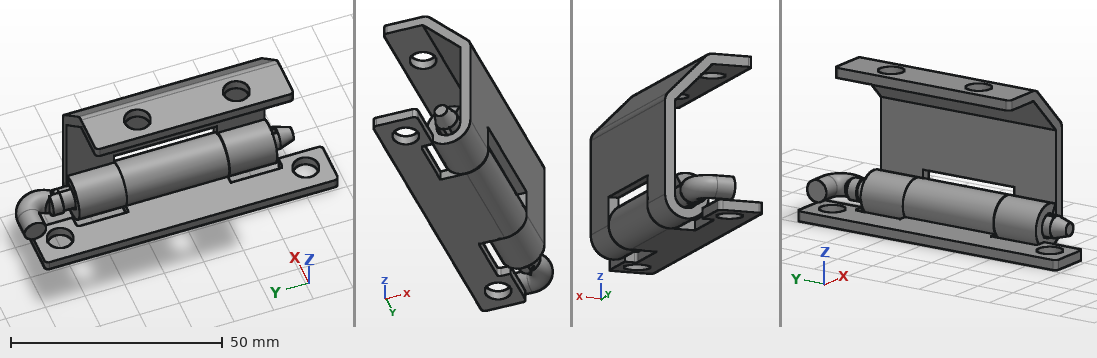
import cadquery as cq
import math


sheet = 2.5
knuckle_radius = 5.5
bore_radius = knuckle_radius - sheet
screw_hole_diameter = 6.3
corner_radius = 1.0

bracket_length = 50.0
bracket_top = 34.8
flange_edge_x = -16.5
lower_bend_z = 22.8
bracket_hole_x = -11.1
bracket_hole_spacing = 25.0
curl_end_angle = 60
window_length = 26
window_top = 6.8

base_length = 74.05
base_left_x = -14.7
base_right_x = -3.5
notch_x = -6.6
notch_length = 51.95
notch_corner_radius = 0.7
base_hole_x = -8.5
base_hole_spacing = 62.05
knuckle_gap = 0.15

pin_radius = 2.75
pin_x = bore_radius - pin_radius
tip_start_y = -27.0
tip_end_y = -30.7
tip_end_radius = 1.6
slot_width = 1.4
slot_end_y = -window_length / 2
collar_start_y = 28.0
collar_end_y = 30.6
long_leg_end_y = 29.8

handle_end_x = -6.8
handle_top_y = 76.4 - base_length / 2
bend_radius = 3.75
bend_center_x = -2.3
bend_center_y = handle_top_y - pin_radius - bend_radius
bend_angle = 140
collar_x = -0.3


def y_cylinder(radius, start_y, end_y, x=0):
    """Cylinder parallel to the hinge axis."""
    start = cq.Vector(x, start_y, 0)
    return cq.Workplane(obj=cq.Solid.makeCylinder(radius, end_y - start_y, start, cq.Vector(0, 1, 0)))


def limit_box(x_min, x_max, y_min, y_max, z_min, z_max):
    """Axis-aligned box given by its limits."""
    return cq.Workplane().box(
        x_max - x_min, y_max - y_min, z_max - z_min, centered=False
    ).translate((x_min, y_min, z_min))


def make_bracket():
    """Bent leaf whose lower edge curls around the pin, windowed for the middle knuckle."""
    half_length = bracket_length / 2
    upper_bend_z = bracket_top - sheet
    upper_bend_x = bore_radius - (upper_bend_z - lower_bend_z)
    diagonal = sheet * math.sqrt(0.5)
    arc_middle = math.radians(45 / 2)
    arc_x = sheet * math.sin(arc_middle)
    arc_z = sheet * math.cos(arc_middle)
    end_angle = math.radians(curl_end_angle)
    end_cos = math.cos(end_angle)
    end_sin = math.sin(end_angle)
    curl_middle = math.radians((curl_end_angle - 360) / 2)
    mid_cos = math.cos(curl_middle)
    mid_sin = math.sin(curl_middle)

    bracket = (
        cq.Workplane("XZ", origin=(0, half_length, 0))
        .moveTo(flange_edge_x, bracket_top)
        .lineTo(upper_bend_x, bracket_top)
        .threePointArc(
            (upper_bend_x + arc_x, upper_bend_z + arc_z),
            (upper_bend_x + diagonal, upper_bend_z + diagonal),
        )
        .lineTo(bore_radius + diagonal, lower_bend_z + diagonal)
        .threePointArc(
            (bore_radius + arc_z, lower_bend_z + arc_x), (knuckle_radius, lower_bend_z)
        )
        .lineTo(knuckle_radius, 0)
        .threePointArc(
            (knuckle_radius * mid_cos, knuckle_radius * mid_sin),
            (knuckle_radius * end_cos, knuckle_radius * end_sin),
        )
        .lineTo(bore_radius * end_cos, bore_radius * end_sin)
        .threePointArc((bore_radius * mid_cos, bore_radius * mid_sin), (bore_radius, 0))
        .lineTo(bore_radius, lower_bend_z)
        .lineTo(upper_bend_x, upper_bend_z)
        .lineTo(flange_edge_x, upper_bend_z)
        .close()
        .extrude(bracket_length)
    )
    bracket = bracket.edges("|Z and <X").fillet(corner_radius)

    half_window = window_length / 2
    window = limit_box(
        -knuckle_radius, knuckle_radius, -half_window, half_window, -knuckle_radius, window_top
    )
    holes = (
        cq.Workplane(origin=(bracket_hole_x, 0, upper_bend_z))
        .rarray(0.8, bracket_hole_spacing, 1, 2)
        .circle(screw_hole_diameter / 2)
        .extrude(sheet)
    )
    return bracket.cut(window).cut(holes)


def make_base():
    """Flat leaf, notched beside the bracket knuckles and joined to the middle knuckle."""
    half_length = base_length / 2
    half_notch = notch_length / 2
    knuckle_start = -window_length / 2 + knuckle_gap
    knuckle_end = window_length / 2
    bottom = -knuckle_radius
    top = bottom + sheet

    plate = limit_box(base_left_x, base_right_x, -half_length, half_length, bottom, top)
    plate = plate.edges("|Z").fillet(corner_radius)
    notch = limit_box(notch_x, 0, -half_notch, half_notch, bottom, top)
    notch = notch.edges("|Z and <X").fillet(notch_corner_radius)
    tongue = limit_box(notch_x, 0, knuckle_start, knuckle_end, bottom, top)
    holes = (
        cq.Workplane(origin=(base_hole_x, 0, bottom))
        .rarray(0.8, base_hole_spacing, 1, 2)
        .circle(screw_hole_diameter / 2)
        .extrude(sheet)
    )
    knuckle = y_cylinder(knuckle_radius, knuckle_start, knuckle_end)
    bore = y_cylinder(bore_radius, knuckle_start, knuckle_end)
    return plate.cut(notch).cut(holes).union(tongue).union(knuckle).cut(bore)


def make_handle():
    """Bent round bar that ends in a short collar over the pin legs."""
    axis_y = bend_center_y + bend_radius

    bend_start = cq.Workplane("YZ", origin=(bend_center_x, axis_y, 0))
    straight = bend_start.circle(pin_radius).extrude(handle_end_x - bend_center_x)
    bend = bend_start.circle(pin_radius).revolve(bend_angle, (-bend_radius, 0), (-bend_radius, -1))
    collar = y_cylinder(pin_radius, collar_start_y, collar_end_y, collar_x)
    below_collar = limit_box(
        -knuckle_radius, knuckle_radius, 0, collar_start_y, -knuckle_radius, knuckle_radius
    )
    return straight.union(bend).union(collar).cut(below_collar)


def make_leg(side, end_y, handle):
    """Half-round pin leg on one side (-1 or +1), relieved along the slot at the tip end."""
    rod = y_cylinder(pin_radius, tip_start_y, end_y, pin_x)
    outer_x = pin_x + side * knuckle_radius
    half = limit_box(
        min(pin_x, outer_x), max(pin_x, outer_x), tip_start_y, end_y, -knuckle_radius, knuckle_radius
    )
    slot = limit_box(
        pin_x - slot_width / 2, pin_x + slot_width / 2,
        tip_start_y, slot_end_y, -knuckle_radius, knuckle_radius,
    )
    return rod.intersect(half).cut(slot).cut(handle)


def make_tip():
    """Tapered nose across the ends of both legs."""
    cone = cq.Solid.makeCone(
        pin_radius,
        tip_end_radius,
        tip_start_y - tip_end_y,
        cq.Vector(pin_x, tip_start_y, 0),
        cq.Vector(0, -1, 0),
    )
    return cq.Workplane(obj=cone)


bracket = make_bracket()
base = make_base()
handle = make_handle()
tip = make_tip()
legs = [
    make_leg(side, end_y, handle)
    for side, end_y in ((-1, collar_start_y), (1, long_leg_end_y))
]

result = cq.Compound.makeCompound(
    [bracket.val(), base.val(), handle.val(), tip.val(), *[leg.val() for leg in legs]]
)